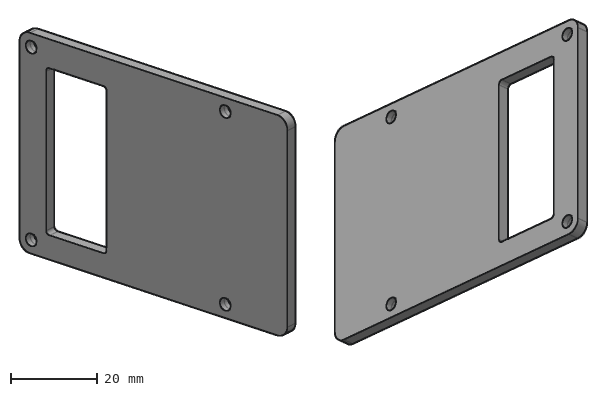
import cadquery as cq

length = 80.0
height = 56.0
thickness = 3.0
corner_radius = 3.0

hole_diameter = 3.2
hole_inset = 3.5
hole_spacing_x = 57.9

window_width = 18.0
window_height = 42.4
window_left_margin = 8.0
window_bottom_margin = 6.2
window_corner_radius = 1.0

left = -length / 2
bottom = -height / 2


def upright_block(width, depth, tall, radius):
    """Centred block in the XZ plane with its four corners rounded."""
    return cq.Workplane("XY").box(width, depth, tall).edges("|Y").fillet(radius)


plate = upright_block(length, thickness, height, corner_radius)

window = upright_block(window_width, 2 * thickness, window_height, window_corner_radius).translate((
    left + window_left_margin + window_width / 2,
    0,
    bottom + window_bottom_margin + window_height / 2,
))

hole_x = left + hole_inset
hole_z = bottom + hole_inset
hole_centres = [(x, z) for x in (hole_x, hole_x + hole_spacing_x) for z in (hole_z, -hole_z)]
holes = (
    cq.Workplane("XZ")
    .pushPoints(hole_centres)
    .circle(hole_diameter / 2)
    .extrude(thickness, both=True)
)

result = plate.cut(window).cut(holes)